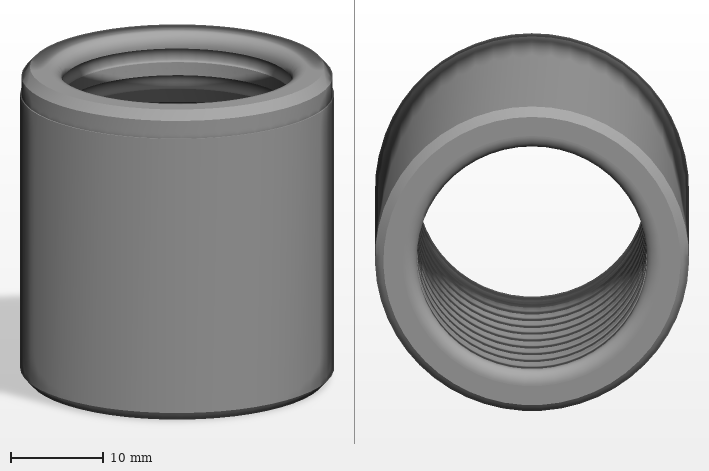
import cadquery as cq

LENGTH = 35.0
SLEEVE_DIAMETER = 34.0
SLEEVE_RADIUS = SLEEVE_DIAMETER / 2
LEAD_IN_STEP = 0.15
LEAD_IN_LENGTH = 3.0
CHAMFER_HEIGHT = 1.0
CHAMFER_WIDTH = 0.9

LINER_RADIUS = 14.5
BORE_RADIUS = 12.45
MOUTH_RADIUS = 1.5
GROOVE_RADIUS = 0.77
GROOVE_PITCH = 3.0
GROOVE_COUNT = 11


def make_sleeve():
    """Revolve the sleeve's half section about Z."""
    lead_in_radius = SLEEVE_RADIUS - LEAD_IN_STEP
    lead_in_start = LENGTH - LEAD_IN_LENGTH
    return (
        cq.Workplane("XZ")
        .moveTo(LINER_RADIUS, 0)
        .lineTo(SLEEVE_RADIUS - CHAMFER_WIDTH, 0)
        .lineTo(SLEEVE_RADIUS, CHAMFER_HEIGHT)
        .lineTo(SLEEVE_RADIUS, lead_in_start)
        .lineTo(lead_in_radius, lead_in_start)
        .lineTo(lead_in_radius, LENGTH - CHAMFER_HEIGHT)
        .lineTo(lead_in_radius - CHAMFER_WIDTH, LENGTH)
        .lineTo(LINER_RADIUS, LENGTH)
        .close()
        .revolve(360, (0, 0, 0), (0, 1, 0))
    )


def make_liner():
    """Revolve the liner's half section, following the bore from bottom to top."""
    mouth_edge = BORE_RADIUS + MOUTH_RADIUS
    first_groove = LENGTH / 2 - GROOVE_PITCH * (GROOVE_COUNT - 1) / 2
    profile = (
        cq.Workplane("XZ")
        .moveTo(LINER_RADIUS, 0)
        .lineTo(mouth_edge, 0)
        .radiusArc((BORE_RADIUS, MOUTH_RADIUS), MOUTH_RADIUS)
    )
    for index in range(GROOVE_COUNT):
        groove_z = first_groove + index * GROOVE_PITCH
        profile = profile.lineTo(BORE_RADIUS, groove_z - GROOVE_RADIUS).threePointArc(
            (BORE_RADIUS + GROOVE_RADIUS, groove_z),
            (BORE_RADIUS, groove_z + GROOVE_RADIUS),
        )
    return (
        profile.lineTo(BORE_RADIUS, LENGTH - MOUTH_RADIUS)
        .radiusArc((mouth_edge, LENGTH), MOUTH_RADIUS)
        .lineTo(LINER_RADIUS, LENGTH)
        .close()
        .revolve(360, (0, 0, 0), (0, 1, 0))
    )


sleeve = make_sleeve()
liner = make_liner()
result = cq.Compound.makeCompound([sleeve.val(), liner.val()])